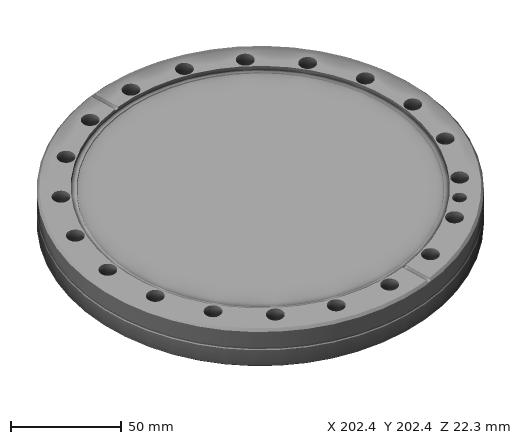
import cadquery as cq
import math

outer_radius = 101.2
thickness = 22.3
edge_chamfer = 1.2

rim_groove_half_width = 0.8
rim_groove_depth = 0.5

recess_radius = 85.8
recess_depth = 2.5
knife_radius = 83.2
knife_slope = 20.0
center_radius = 83.0
center_depth = 2.0

bolt_circle_radius = 90.5
bolt_count = 20
bolt_hole_diameter = 8.5
extra_hole_diameter = 6.7
extra_hole_angle = 45.0

leak_groove_radius = 1.2
leak_groove_axis_height = 0.2
bolt_pitch_angle = 360.0 / bolt_count
leak_groove_angles = [bolt_pitch_angle / 2, bolt_pitch_angle / 2 + 180.0]


def make_body():
    """Revolve half of the cross-section about Z."""
    middle = thickness / 2
    groove_floor = outer_radius - rim_groove_depth
    rim_inner = outer_radius - edge_chamfer
    recess_floor = thickness - recess_depth
    knife_rise = (recess_radius - knife_radius) * math.tan(math.radians(knife_slope))
    section = (
        cq.Workplane("XZ")
        .moveTo(0, 0)
        .lineTo(rim_inner, 0)
        .lineTo(outer_radius, edge_chamfer)
        .lineTo(outer_radius, middle - rim_groove_half_width)
        .lineTo(groove_floor, middle - rim_groove_half_width + rim_groove_depth)
        .lineTo(groove_floor, middle + rim_groove_half_width)
        .lineTo(outer_radius, middle + rim_groove_half_width)
        .lineTo(outer_radius, thickness - edge_chamfer)
        .lineTo(rim_inner, thickness)
        .lineTo(recess_radius, thickness)
        .lineTo(recess_radius, recess_floor)
        .lineTo(knife_radius, recess_floor + knife_rise)
        .lineTo(center_radius, thickness - center_depth)
        .lineTo(0, thickness - center_depth)
        .close()
    )
    return section.revolve(360, (0, 0, 0), (0, 1, 0))


def make_holes():
    """Through bolt holes plus one smaller hole between two of them."""
    bolts = (
        cq.Workplane("XY")
        .polarArray(bolt_circle_radius, 0, 360, bolt_count)
        .circle(bolt_hole_diameter / 2)
        .extrude(thickness)
    )
    extra = (
        cq.Workplane("XY")
        .polarArray(bolt_circle_radius, extra_hole_angle, 360, 1)
        .circle(extra_hole_diameter / 2)
        .extrude(thickness)
    )
    return bolts.union(extra)


def make_leak_groove(angle):
    """Radial cylinder running from the recess wall out past the rim."""
    start_radius = (knife_radius + recess_radius) / 2
    cylinder = (
        cq.Workplane("YZ", origin=(start_radius, 0, thickness + leak_groove_axis_height))
        .circle(leak_groove_radius)
        .extrude(outer_radius - start_radius)
    )
    return cylinder.rotate((0, 0, 0), (0, 0, 1), angle)


result = make_body().cut(make_holes())
for groove_angle in leak_groove_angles:
    result = result.cut(make_leak_groove(groove_angle))